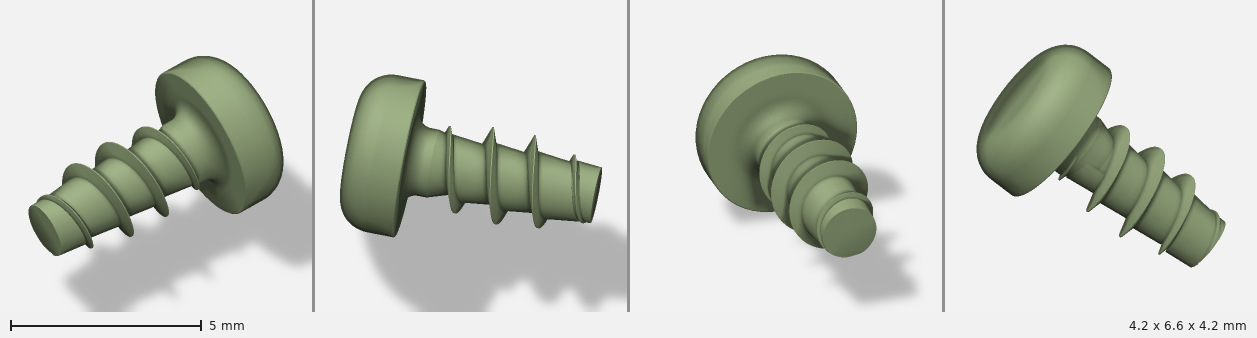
import cadquery as cq
import math

LENGTH = 6.6
HEAD_RADIUS = 2.1
HEAD_HEIGHT = 1.59
HEAD_ROUND = 0.845
HEAD_EDGE_CHAMFER = 0.025
NECK_RADIUS = 0.905
NECK_FILLET = 0.395
NECK_END = 2.22
TIP_RADIUS = 0.705
TIP_CONE_RADIUS = 0.66
TIP_CONE_HEIGHT = 0.02
RELIEF_END = 2.84

PITCH = 1.12
THREAD_START = 2.1
START_ANGLE = -92.0
FULL_CREST_START = 3.43
FULL_CREST_END = 4.885
CREST_RADIUS = 1.25
START_CREST_RADIUS = 0.99
CREST_WIDTH = 0.025
ROOT_HALF_WIDTH = 0.18
ROOT_RADIUS_HEAD_SIDE = 0.75
ROOT_RADIUS_TIP_SIDE = 0.86
LAND_FADE_START = 5.48
INNER_RADIUS = 0.53
LAND_OVERLAP = 0.065
TRIM_RADIUS = 1.98
THREAD_OVERRUN = 0.13
SPAN = PITCH / 2
SAMPLES_PER_SPAN = 12


def crest_radius(depth):
    """Crest grows from the start, stays full, then fades to the core at the tip."""
    if depth < FULL_CREST_START:
        share = (depth - THREAD_START) / (FULL_CREST_START - THREAD_START)
        return START_CREST_RADIUS + share * (CREST_RADIUS - START_CREST_RADIUS)
    if depth > FULL_CREST_END:
        share = (depth - FULL_CREST_END) / (LENGTH - FULL_CREST_END)
        return CREST_RADIUS - share * (CREST_RADIUS - TIP_RADIUS)
    return CREST_RADIUS


def tooth_section(depth):
    """(radius, offset towards the tip) corners of the thread tooth."""
    crest = crest_radius(depth)
    half_crest = CREST_WIDTH / 2
    root_rise = CREST_RADIUS - ROOT_RADIUS_HEAD_SIDE
    flank_slope = (ROOT_HALF_WIDTH - half_crest) / root_rise
    half_base = half_crest + flank_slope * (crest - INNER_RADIUS)
    return [
        (INNER_RADIUS, -half_base),
        (crest, -half_crest),
        (crest, half_crest),
        (INNER_RADIUS, half_base),
    ]


def land_section(depth):
    """(radius, offset) corners of the tapered core between two teeth."""
    first = ROOT_HALF_WIDTH - LAND_OVERLAP
    last = PITCH - first
    fade = max(0, (depth - LAND_FADE_START) / (LENGTH - LAND_FADE_START))
    tip_side = ROOT_RADIUS_TIP_SIDE - fade * (ROOT_RADIUS_TIP_SIDE - TIP_RADIUS)
    head_side = ROOT_RADIUS_HEAD_SIDE - fade * (ROOT_RADIUS_HEAD_SIDE - TIP_RADIUS)
    return [
        (INNER_RADIUS, first),
        (tip_side, first),
        (head_side, last),
        (INNER_RADIUS, last),
    ]


def section_points(section, depth):
    """Section corners placed in space at the thread angle of this depth."""
    angle = math.radians(START_ANGLE + 360 * (depth - THREAD_START) / PITCH)
    return [
        cq.Vector(radius * math.cos(angle), -(depth + offset), radius * math.sin(angle))
        for radius, offset in section(depth)
    ]


def helical_solid(section):
    """Solid whose section corners each follow a helix around the Y axis."""
    marks = [step / SAMPLES_PER_SPAN for step in range(SAMPLES_PER_SPAN + 1)]
    span_count = math.ceil((LENGTH + THREAD_OVERRUN - THREAD_START) / SPAN)
    faces = []
    for span in range(span_count):
        sections = [section_points(section, THREAD_START + SPAN * (span + mark)) for mark in marks]
        edges = [cq.Edge.makeSpline(list(path), parameters=marks) for path in zip(*sections)]
        following = edges[1:] + edges[:1]
        faces += [cq.Face.makeRuledSurface(a, b) for a, b in zip(edges, following)]
    for depth in (THREAD_START, THREAD_START + SPAN * span_count):
        corners = section_points(section, depth)
        faces.append(cq.Face.makeFromWires(cq.Wire.makePolygon(corners, close=True)))
    solid = cq.Solid.makeSolid(cq.Shell.makeShell(faces))
    return cq.Workplane("XY").newObject([solid.fix()])


def head_and_core():
    """Revolved head, neck fillet, relief taper and plain core."""
    diagonal = math.sqrt(0.5)
    head_arc_mid = (
        HEAD_RADIUS - HEAD_ROUND * (1 - diagonal),
        -HEAD_ROUND * (1 - diagonal),
    )
    fillet_arc_mid = (
        NECK_RADIUS + NECK_FILLET * (1 - diagonal),
        -HEAD_HEIGHT - NECK_FILLET * (1 - diagonal),
    )
    return (
        cq.Workplane("XY")
        .lineTo(HEAD_RADIUS - HEAD_ROUND, 0)
        .threePointArc(head_arc_mid, (HEAD_RADIUS, -HEAD_ROUND))
        .lineTo(HEAD_RADIUS, HEAD_EDGE_CHAMFER - HEAD_HEIGHT)
        .lineTo(HEAD_RADIUS - HEAD_EDGE_CHAMFER, -HEAD_HEIGHT)
        .lineTo(NECK_RADIUS + NECK_FILLET, -HEAD_HEIGHT)
        .threePointArc(fillet_arc_mid, (NECK_RADIUS, -HEAD_HEIGHT - NECK_FILLET))
        .lineTo(NECK_RADIUS, -NECK_END)
        .lineTo(TIP_RADIUS, -RELIEF_END)
        .lineTo(TIP_RADIUS, TIP_CONE_HEIGHT - LENGTH)
        .lineTo(0, TIP_CONE_HEIGHT - LENGTH)
        .close()
        .revolve(360, (0, 0, 0), (0, 1, 0))
    )


def beyond_tip():
    """Block of space past the flat end of the thread."""
    return (
        cq.Workplane("XZ", origin=(0, TIP_CONE_HEIGHT - LENGTH, 0))
        .circle(TRIM_RADIUS)
        .extrude(2 * PITCH)
    )


def tip_cone():
    """Very shallow point closing the end of the core."""
    base = cq.Vector(0, TIP_CONE_HEIGHT - LENGTH, 0)
    cone = cq.Solid.makeCone(TIP_CONE_RADIUS, 0, TIP_CONE_HEIGHT, base, cq.Vector(0, -1, 0))
    return cq.Workplane("XY").newObject([cone])


result = (
    head_and_core()
    .union(helical_solid(land_section))
    .union(helical_solid(tooth_section))
    .cut(beyond_tip())
    .union(tip_cone())
)